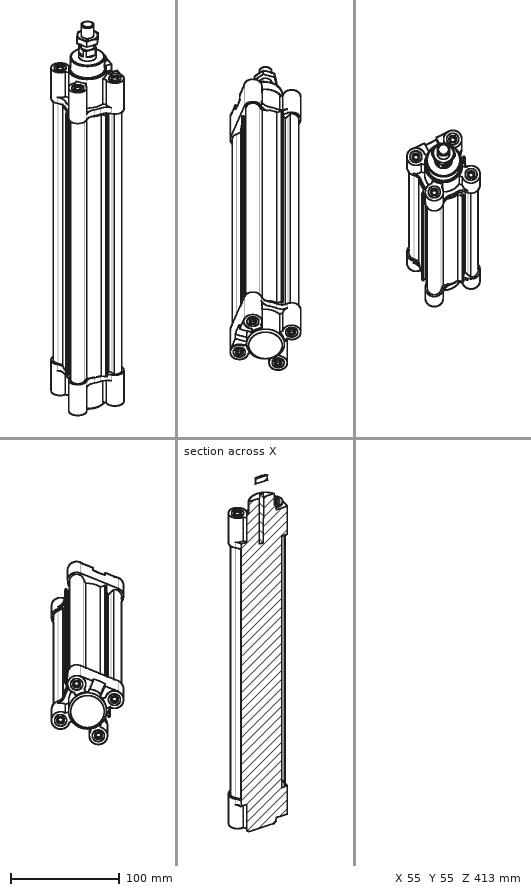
import cadquery as cq
import math

overall_length = 413.0
rear_collar_height = 4.5
cap_length = 34.0
front_cap_top = 359.5
ring_top = 364.3
nose_top = 377.5
flats_bottom = 381.5
shoulder_height = 388.2
nut_bottom = 395.0
nut_thickness = 6.0
rear_tube_end = rear_collar_height + cap_length
front_tube_end = front_cap_top - cap_length

column_offset = 19.0
column_diameter = 17.0
column_radius = column_diameter / 2
cap_half_width = column_offset + column_radius
collar_diameter = 35.0
collar_chamfer = 2.0
nose_diameter = 32.0
nose_chamfer = 1.0
ring_chamfer = 1.0
flange_thickness = 6.5
flange_radius = 21.5
flange_arc_half = 3.1
web_width = 10.0

port_block_drop = 1.2
port_groove_width = 12.0
port_groove_depth = 8.3
port_groove_sag = 1.5

screw_hole_steps = [(11.0, 0.5), (7.0, 1.0), (5.0, 4.0)]

barrel_radius = 22.7
barrel_start_x = -10.5
barrel_end_x = 3.5
tube_column_radius = 6.5
left_column_end_x = -14.5
right_column_start_x = 15.5
rail_hollow_middle = (5.0, -23.5)
rail_tip_start = (6.5, -25.5)
rail_and_slot = [(8.3, -25.5), (8.3, -24.5), (7.5, -24.5), (7.5, -22.5), (13.2, -18.0), (14.5, -21.5)]

rod_diameter = 16.0
rod_flats = 13.2
thread_diameter = 12.0
thread_chamfer_width = 1.2
thread_chamfer_height = 1.0
rod_seat = front_tube_end
nut_flats = 19.0
nut_chamfer_width = 1.5
nut_chamfer_height = 0.6

QUARTER_TURNS = (0, 90, 180, 270)
WEB_ANGLES = (45, 135)


def cylinder(diameter, bottom, top):
    """Cylinder on the Z axis between two heights."""
    return cq.Workplane("XY").workplane(offset=bottom).circle(diameter / 2).extrude(top - bottom)


def turn(point, degrees):
    """Turn an XY point about the Z axis."""
    angle = math.radians(degrees)
    x, y = point
    return (x * math.cos(angle) - y * math.sin(angle), x * math.sin(angle) + y * math.cos(angle))


def column_points():
    return [turn((column_offset, column_offset), degrees) for degrees in QUARTER_TURNS]


def flange():
    """Plate with round corners and shallow round sides, joined by hollows tangent to both."""
    side_angle = math.asin(flange_arc_half / flange_radius)
    corner_distance = column_offset * math.sqrt(2)
    radius_step = flange_radius - column_radius
    spread = corner_distance * math.cos(math.pi / 4 - side_angle)
    hollow_distance = (corner_distance**2 - radius_step**2) / (2 * (spread - radius_step))
    hollow_radius = hollow_distance - flange_radius
    hollow_x = hollow_distance * math.sin(side_angle)
    hollow_y = -hollow_distance * math.cos(side_angle)
    lean = math.asin((column_offset - hollow_x) / (column_radius + hollow_radius))

    def on_hollow(angle):
        return (hollow_x + hollow_radius * math.sin(angle), hollow_y + hollow_radius * math.cos(angle))

    side_end = on_hollow(-side_angle)
    hollow_middle = on_hollow((lean - side_angle) / 2)
    corner_start = on_hollow(lean)
    corner_middle = column_offset + column_radius * math.sqrt(0.5)

    def across_corner(point):
        return (-point[1], -point[0])

    arcs = [
        ((0, -flange_radius), side_end),
        (hollow_middle, corner_start),
        ((corner_middle, -corner_middle), across_corner(corner_start)),
        (across_corner(hollow_middle), across_corner(side_end)),
    ]
    outline = cq.Workplane("XY").moveTo(-side_end[0], side_end[1])
    for degrees in QUARTER_TURNS:
        for middle, end in arcs:
            outline = outline.threePointArc(turn(middle, degrees), turn(end, degrees))
    return outline.close().extrude(flange_thickness)


def port_block():
    """Block between the two +Y columns, with a round-bottomed groove along its top."""
    height = cap_length - port_block_drop
    block_inner = column_offset - web_width / 2
    block = cq.Workplane("XY").center(0, block_inner)
    block = block.rect(2 * column_offset, cap_half_width - block_inner, centered=(True, False))
    block = block.extrude(height)
    wall_bottom = height - port_groove_depth + port_groove_sag
    half_groove = port_groove_width / 2
    groove = (
        cq.Workplane("XZ")
        .moveTo(-half_groove, height)
        .lineTo(-half_groove, wall_bottom)
        .threePointArc((0, height - port_groove_depth), (half_groove, wall_bottom))
        .lineTo(half_groove, height)
        .close()
        .extrude(-cap_half_width)
    )
    return block.cut(groove)


def end_cap(collar_height):
    """Cap standing on the tube end at Z = 0, with its screw heads facing up."""
    cap = flange().union(cylinder(collar_diameter, 0, cap_length + collar_height)).union(port_block())
    diagonal = column_offset * math.sqrt(2)
    for degrees in WEB_ANGLES:
        web = cq.Workplane("XY").rect(2 * diagonal, web_width).extrude(cap_length)
        cap = cap.union(web.rotate((0, 0, 0), (0, 0, 1), degrees))
    columns = cq.Workplane("XY").pushPoints(column_points()).circle(column_radius)
    cap = cap.union(columns.extrude(cap_length))
    for diameter, depth in screw_hole_steps:
        top = cq.Workplane("XY").workplane(offset=cap_length)
        cap = cap.cut(top.pushPoints(column_points()).circle(diameter / 2).extrude(-depth))
    return cap


def tube():
    """Extruded profile: round barrel, four corner columns and a hooked sensor rail on each side."""

    def on_barrel(x):
        return (x, -math.sqrt(barrel_radius**2 - x**2))

    def on_column(x):
        return (x, -column_offset - math.sqrt(tube_column_radius**2 - (abs(x) - column_offset) ** 2))

    left_column_end = on_column(left_column_end_x)
    slot_points = rail_and_slot + [on_column(right_column_start_x)]
    column_middle = column_offset + tube_column_radius * math.sqrt(0.5)
    outline = cq.Workplane("XY").moveTo(*left_column_end)
    for degrees in QUARTER_TURNS:
        outline = outline.lineTo(*turn(on_barrel(barrel_start_x), degrees))
        outline = outline.threePointArc(
            turn(on_barrel(0), degrees), turn(on_barrel(barrel_end_x), degrees)
        )
        outline = outline.threePointArc(turn(rail_hollow_middle, degrees), turn(rail_tip_start, degrees))
        for point in slot_points:
            outline = outline.lineTo(*turn(point, degrees))
        outline = outline.threePointArc(
            turn((column_middle, -column_middle), degrees), turn(left_column_end, degrees + 90)
        )
    return outline.close().extrude(front_tube_end - rear_tube_end).translate((0, 0, rear_tube_end))


def build_housing():
    front_cap = end_cap(ring_top - front_cap_top).faces(">Z").edges().chamfer(ring_chamfer)
    front_cap = front_cap.translate((0, 0, front_tube_end))
    rear_cap = end_cap(rear_collar_height).faces(">Z").edges().chamfer(collar_chamfer)
    rear_cap = rear_cap.mirror("XY").translate((0, 0, rear_tube_end))
    nose = cylinder(nose_diameter, ring_top, nose_top).faces(">Z").chamfer(nose_chamfer)
    housing = tube().union(front_cap).union(rear_cap).union(nose)
    return housing.cut(cylinder(rod_diameter, rod_seat, nose_top))


def build_rod():
    rod = cylinder(rod_diameter, rod_seat, flats_bottom)
    flats = cq.Workplane("XY").workplane(offset=flats_bottom).rect(rod_flats, rod_flats)
    flats = flats.extrude(shoulder_height - flats_bottom)
    rod = rod.union(flats.intersect(cylinder(rod_diameter, flats_bottom, shoulder_height)))
    thread = cylinder(thread_diameter, shoulder_height, overall_length)
    thread = thread.faces(">Z").chamfer(thread_chamfer_height, thread_chamfer_width)
    return rod.union(thread)


def build_nut():
    """Hexagon nut with corners on the Y axis and a conical chamfer on its top."""
    corner_diameter = nut_flats / math.cos(math.radians(30))
    nut_top = nut_bottom + nut_thickness
    hexagon = cq.Workplane("XY").workplane(offset=nut_bottom).polygon(6, corner_diameter)
    nut = hexagon.extrude(nut_thickness).rotate((0, 0, 0), (0, 0, 1), 90)
    envelope = cylinder(corner_diameter, nut_bottom, nut_top)
    envelope = envelope.faces(">Z").chamfer(nut_chamfer_height, nut_chamfer_width)
    return nut.intersect(envelope).cut(cylinder(thread_diameter, nut_bottom, nut_top))


housing = build_housing()
rod = build_rod()
nut = build_nut()
result = cq.Compound.makeCompound([housing.val(), rod.val(), nut.val()])